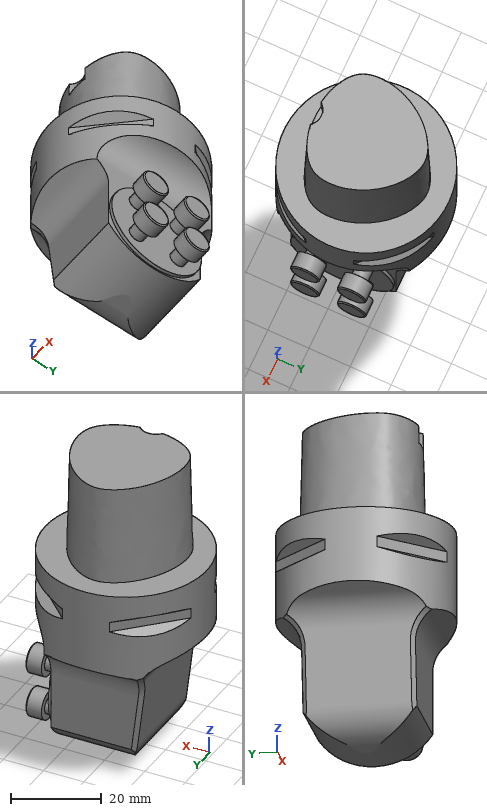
import cadquery as cq
import math

shank_height = 24.0
tip_z = -49.8

flange_diameter = 40.0
flange_radius = flange_diameter / 2

shank_radius = 13.95
lobe_offset = 0.9
lobe_count = 3
lobe_point_count = 48
taper_ratio = 1 / 40
notch_radius = 3.6
notch_center_y = -14.55
notch_depth = 4.05

groove_z = -8.05
groove_floor_distance = 17.65
groove_floor_width = 2.4
groove_half_angle = 30

block_half_width = 12.8
mount_face_x = 12.0
blend_radius = 8.0
scoop_center_z = -21.8
left_shoulder_z = -17.1
left_shoulder_angle = 20
left_root_x = -11.7
left_root_z = left_shoulder_z - (flange_radius + left_root_x) * math.tan(math.radians(left_shoulder_angle))
left_wall_lean = 7
side_shoulder_z = -20.2
side_shoulder_angle = 25
corner_chamfer = 0.95
tip_round_radius = 15.5
heel_radius = 8.0
heel_end_x = 2.65
heel_rise_angle = 5

disc_diameter = 25.0
disc_thickness = 0.8
disc_z = -36.9
screw_spacing = 11.4
screw_shaft_diameter = 4.0
screw_head_diameter = 7.0
screw_head_x = 16.2
screw_end_x = 20.2
screw_head_chamfer = 0.3

overshoot = 7.4
selection_margin = 0.75
blank_half_width = flange_radius + overshoot


def lobed_wire(mean_radius, z):
    """Closed three-lobed curve with one lobe on +Y, from its support function."""
    points = []
    for index in range(lobe_point_count):
        angle = 2 * math.pi * index / lobe_point_count
        phase = lobe_count * (angle - math.pi / 2)
        reach = mean_radius + lobe_offset * math.cos(phase)
        slide = -lobe_count * lobe_offset * math.sin(phase)
        x = reach * math.cos(angle) - slide * math.sin(angle)
        y = reach * math.sin(angle) + slide * math.cos(angle)
        points.append(cq.Vector(x, y, z))
    return cq.Wire.assembleEdges([cq.Edge.makeSpline(points, periodic=True)])


def make_shank():
    top_radius = shank_radius - shank_height * taper_ratio
    wires = [lobed_wire(shank_radius, 0), lobed_wire(top_radius, shank_height)]
    shank = cq.Workplane(cq.Solid.makeLoft(wires))
    notch = (
        cq.Workplane("XY", origin=(0, notch_center_y, shank_height - notch_depth))
        .circle(notch_radius)
        .extrude(notch_depth + overshoot)
    )
    return shank.cut(notch)


def front_form():
    """XZ outline: leaning left wall with shoulder, and a scooped right wall."""
    lean = math.tan(math.radians(left_wall_lean))
    outer_shoulder_z = left_shoulder_z + overshoot * math.tan(math.radians(left_shoulder_angle))
    floor_z = tip_z - overshoot
    scoop_top_z = scoop_center_z + blend_radius
    scoop_x = mount_face_x + blend_radius
    diagonal = blend_radius * math.sqrt(0.5)
    form = (
        cq.Workplane("XZ")
        .moveTo(-blank_half_width, 0)
        .lineTo(-blank_half_width, outer_shoulder_z)
        .lineTo(left_root_x, left_root_z)
        .lineTo(left_root_x + (left_root_z - floor_z) * lean, floor_z)
        .lineTo(mount_face_x, floor_z)
        .lineTo(mount_face_x, scoop_center_z)
        .threePointArc((scoop_x - diagonal, scoop_center_z + diagonal), (scoop_x, scoop_top_z))
        .lineTo(blank_half_width, scoop_top_z)
        .lineTo(blank_half_width, 0)
        .close()
        .extrude(blank_half_width, both=True)
    )
    root = cq.selectors.NearestToPointSelector((left_root_x, 0, left_root_z))
    return form.edges("|Y").edges(root).fillet(blend_radius)


def side_form():
    """YZ outline: symmetric upright walls blended into sloped shoulders."""
    slope = math.tan(math.radians(side_shoulder_angle))
    outer_z = side_shoulder_z + overshoot * slope
    root_z = side_shoulder_z - (flange_radius - block_half_width) * slope
    form = (
        cq.Workplane("YZ")
        .moveTo(0, 0)
        .lineTo(blank_half_width, 0)
        .lineTo(blank_half_width, outer_z)
        .lineTo(block_half_width, root_z)
        .lineTo(block_half_width, tip_z - overshoot)
        .lineTo(0, tip_z - overshoot)
        .mirrorY()
        .extrude(blank_half_width, both=True)
    )
    for side in (-1, 1):
        root = cq.selectors.NearestToPointSelector((0, side * block_half_width, root_z))
        form = form.edges("|X").edges(root).fillet(blend_radius)
    return form


def tip_form():
    """Rounded lower end: a large round about X, and a heel round about Y."""
    tip_round = (
        cq.Workplane("YZ", origin=(-blank_half_width, 0, tip_z + tip_round_radius))
        .circle(tip_round_radius)
        .extrude(2 * blank_half_width)
    )
    upper = (
        cq.Workplane("XY", origin=(0, 0, tip_z + tip_round_radius))
        .rect(2 * blank_half_width, 2 * blank_half_width)
        .extrude(-tip_z)
    )
    lean = math.tan(math.radians(left_wall_lean))
    rise = math.tan(math.radians(heel_rise_angle))
    top_x = left_root_x + left_root_z * lean
    corner_z = (tip_z + (heel_end_x - top_x) * rise) / (1 - lean * rise)
    corner_x = top_x - corner_z * lean
    heel = (
        cq.Workplane("XZ")
        .moveTo(top_x, 0)
        .lineTo(corner_x, corner_z)
        .lineTo(heel_end_x, tip_z)
        .lineTo(blank_half_width, tip_z)
        .lineTo(blank_half_width, 0)
        .close()
        .extrude(blank_half_width, both=True)
    )
    corner = cq.selectors.NearestToPointSelector((corner_x, 0, corner_z))
    heel = heel.edges("|Y").edges(corner).fillet(heel_radius)
    return upper.union(tip_round.intersect(heel))


def make_body():
    body = front_form().intersect(side_form())
    corner_box = cq.selectors.BoxSelector(
        (left_root_x - selection_margin, -block_half_width - selection_margin, tip_z - overshoot),
        (0, block_half_width + selection_margin, left_root_z),
    )
    body = body.edges(corner_box).edges("not(|Y)").chamfer(corner_chamfer)
    barrel = cq.Workplane("XY").circle(flange_radius).extrude(tip_z)
    return body.intersect(barrel).intersect(tip_form())


def make_groove():
    depth = flange_radius + overshoot - groove_floor_distance
    half_floor = groove_floor_width / 2
    half_mouth = half_floor + depth * math.tan(math.radians(groove_half_angle))
    return (
        cq.Workplane("XZ")
        .moveTo(groove_floor_distance, groove_z - half_floor)
        .lineTo(groove_floor_distance + depth, groove_z - half_mouth)
        .lineTo(groove_floor_distance + depth, groove_z + half_mouth)
        .lineTo(groove_floor_distance, groove_z + half_floor)
        .close()
        .extrude(flange_radius, both=True)
    )


def make_disc_and_screws():
    disc = (
        cq.Workplane("YZ", origin=(mount_face_x, 0, disc_z))
        .circle(disc_diameter / 2)
        .extrude(disc_thickness)
    )
    shafts = (
        cq.Workplane("YZ", origin=(mount_face_x, 0, disc_z))
        .rarray(screw_spacing, screw_spacing, 2, 2)
        .circle(screw_shaft_diameter / 2)
        .extrude(screw_head_x - mount_face_x)
    )
    heads = (
        cq.Workplane("YZ", origin=(screw_head_x, 0, disc_z))
        .rarray(screw_spacing, screw_spacing, 2, 2)
        .circle(screw_head_diameter / 2)
        .extrude(screw_end_x - screw_head_x)
        .faces(">X")
        .chamfer(screw_head_chamfer)
    )
    return disc.union(shafts).union(heads)


body = make_body()
groove = make_groove()
for groove_angle in (45, 135, 225, 315):
    body = body.cut(groove.rotate((0, 0, 0), (0, 0, 1), groove_angle))

result = body.union(make_shank()).union(make_disc_and_screws())